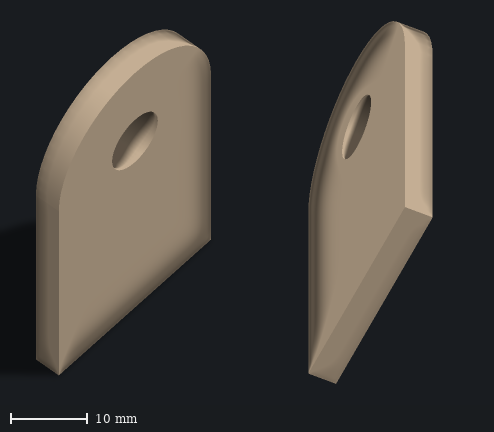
import cadquery as cq

thickness = 4.0
width = 30.0
height = 50.0
hole_diameter = 9.0
hole_top_margin = 10.0

half_width = width / 2
arch_base_height = height - half_width
hole_height = height - hole_top_margin - hole_diameter / 2

plate = (
    cq.Workplane("YZ")
    .moveTo(-half_width, 0)
    .lineTo(half_width, 0)
    .lineTo(half_width, arch_base_height)
    .threePointArc((0, height), (-half_width, arch_base_height))
    .close()
    .extrude(thickness)
)

pin_hole = (
    cq.Workplane("YZ")
    .center(0, hole_height)
    .circle(hole_diameter / 2)
    .extrude(thickness)
)

result = plate.cut(pin_hole)